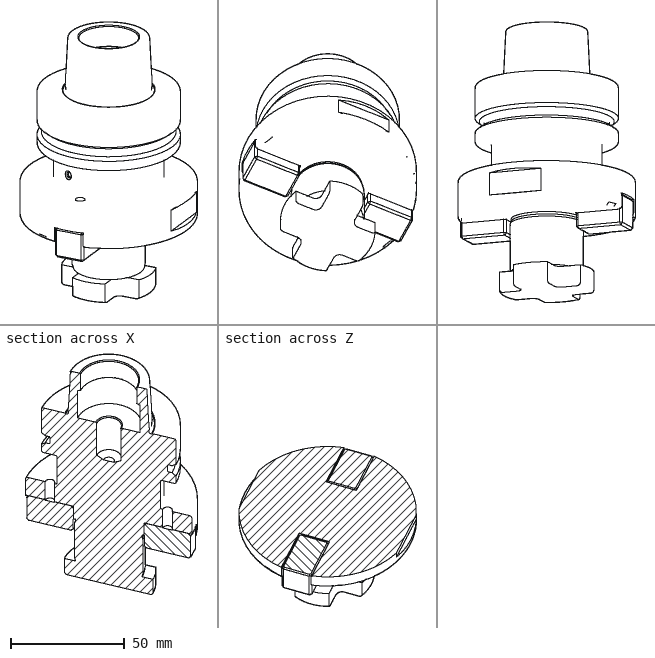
import cadquery as cq
import math


total_height = 118.0
cross_height = 9.3
ring_bottom = 33.0
ring_top = 51.0
lip_bottom = 67.1
groove_bottom = 73.3
groove_top = 77.0
flange_top = 93.1

cross_radius = 20.8
arbor_radius = 16.0
ring_radius = 78.0 / 2
neck_radius = 24.3
flange_radius = 31.5
groove_radius = 27.5
taper_top_radius = 18.0
taper_base_radius = 19.1

ring_fillet = 1.5
flange_fillet = 1.0
shank_fillet = 0.8
root_fillet = 0.6
arbor_lead_depth = 0.4
arbor_lead_height = 1.4
relief_height = 1.1
lip_chamfer_height = 1.4
lip_chamfer_depth = 1.9

foot_relief_height = 1.9
foot_relief_depth = 0.2
foot_fillet = 1.0
foot_recess_radius = 20.4
foot_recess_depth = 0.4

bore_radius = 13.1
bore_chamfer = 0.5
bore_depth = 9.8
clamp_radius = 14.5
clamp_shoulder_angle = 30.0
bore_floor = 92.0
centre_hole_radius = 5.5
centre_hole_chamfer = 0.5
centre_hole_depth = 18.9
centre_tip_radius = 2.5
centre_tip_slope = 30.0

neck_hole_angle = 20.0
neck_hole_height = 59.1
neck_hole_radius = 1.4
neck_hole_chamfer = 0.6
neck_ball_depth = 0.6

pocket_flat = 37.0
pocket_bottom = 37.3
pocket_top = 47.2
pocket_wall_flare = 0.6

key_width = 14.0
key_bottom = 26.2
key_top = 40.2
key_inner = 16.5
key_outer = 38.4
key_chamfer = 1.0
key_hole_radius = 2.1

cross_arm_width = 16.0
cross_corner_radius = 3.0
cross_fillet = 1.5


def revolve_about_z(outline):
    """Turn a closed radius/height outline, drawn in the XZ plane, about Z."""
    return outline.close().revolve(360, (0, 0, 0), (0, 1, 0))


def fillet_arc(outline, centre_r, centre_z, radius, start, end):
    """Add a fillet arc about a centre, running between two angles in degrees."""
    def point(angle):
        a = math.radians(angle)
        return (centre_r + radius * math.cos(a), centre_z + radius * math.sin(a))

    return outline.lineTo(*point(start)).threePointArc(point((start + end) / 2), point(end))


def turned_body():
    """Solid of revolution from the arbor's lower end up to the shank's top."""
    arbor_small_radius = arbor_radius - arbor_lead_depth
    relief_bottom = ring_bottom - relief_height
    lip_edge_radius = flange_radius - lip_chamfer_depth
    foot_floor = flange_top - foot_recess_depth
    foot_radius = taper_base_radius - foot_relief_depth

    outline = cq.Workplane("XZ").moveTo(0, cross_height).lineTo(arbor_small_radius, cross_height)
    outline = outline.lineTo(arbor_radius, cross_height + arbor_lead_height)
    outline = outline.lineTo(arbor_radius, relief_bottom - relief_height)
    outline = outline.lineTo(arbor_small_radius, relief_bottom)
    outline = outline.lineTo(arbor_small_radius, ring_bottom)
    ring_centre = ring_radius - ring_fillet
    outline = fillet_arc(outline, ring_centre, ring_bottom + ring_fillet, ring_fillet, -90, 0)
    outline = fillet_arc(outline, ring_centre, ring_top - ring_fillet, ring_fillet, 0, 90)
    root_centre = neck_radius + root_fillet
    outline = fillet_arc(outline, root_centre, ring_top + root_fillet, root_fillet, 270, 180)
    outline = fillet_arc(outline, root_centre, lip_bottom - root_fillet, root_fillet, 180, 90)
    flange_centre = flange_radius - flange_fillet
    groove_centre = groove_radius + root_fillet
    outline = fillet_arc(outline, flange_centre, lip_bottom + flange_fillet, flange_fillet, -90, 0)
    outline = outline.lineTo(flange_radius, groove_bottom - lip_chamfer_height)
    outline = outline.lineTo(lip_edge_radius, groove_bottom)
    outline = fillet_arc(outline, groove_centre, groove_bottom + root_fillet, root_fillet, 270, 180)
    outline = fillet_arc(outline, groove_centre, groove_top - root_fillet, root_fillet, 180, 90)
    outline = outline.lineTo(lip_edge_radius, groove_top)
    outline = outline.lineTo(flange_radius, groove_top + lip_chamfer_height)
    outline = fillet_arc(outline, flange_centre, flange_top - flange_fillet, flange_fillet, 0, 90)
    outline = outline.lineTo(foot_recess_radius, flange_top)
    outline = outline.lineTo(foot_recess_radius - foot_recess_depth, foot_floor)
    outline = fillet_arc(outline, foot_radius + foot_fillet, foot_floor + foot_fillet, foot_fillet, 270, 180)
    outline = outline.lineTo(taper_base_radius, flange_top + foot_relief_height)
    outline = fillet_arc(
        outline, taper_top_radius - shank_fillet, total_height - shank_fillet, shank_fillet, 0, 90
    )
    return revolve_about_z(outline.lineTo(0, total_height))


def shank_bore():
    """Stepped blind bore: mouth, undercut for the clamp, and a centre hole."""
    shoulder = total_height - bore_depth
    shoulder_height = (clamp_radius - bore_radius) * math.tan(math.radians(clamp_shoulder_angle))
    cone_top = bore_floor - centre_hole_depth
    cone_width = centre_hole_radius - centre_tip_radius
    tip = cone_top - cone_width * math.tan(math.radians(centre_tip_slope))
    outline = cq.Workplane("XZ").moveTo(0, total_height)
    outline = outline.lineTo(bore_radius + bore_chamfer, total_height)
    outline = outline.lineTo(bore_radius, total_height - bore_chamfer)
    outline = outline.lineTo(bore_radius, shoulder)
    outline = outline.lineTo(clamp_radius, shoulder - shoulder_height)
    outline = outline.lineTo(clamp_radius, bore_floor)
    outline = outline.lineTo(centre_hole_radius + centre_hole_chamfer, bore_floor)
    outline = outline.lineTo(centre_hole_radius, bore_floor - centre_hole_chamfer)
    outline = outline.lineTo(centre_hole_radius, cone_top)
    outline = outline.lineTo(centre_tip_radius, tip)
    return revolve_about_z(outline.lineTo(0, tip))


def neck_hole():
    """Radial countersunk hole, swung round from -Y, that ends on a convex ball."""
    mouth_radius = neck_hole_radius + neck_hole_chamfer
    ball_top = neck_radius - neck_ball_depth
    ball_centre = ball_top - neck_hole_radius
    ball_side = neck_hole_radius * math.sqrt(0.5)
    drill = (
        cq.Workplane("XY")
        .moveTo(0, -neck_radius - mouth_radius)
        .lineTo(mouth_radius, -neck_radius - mouth_radius)
        .lineTo(mouth_radius, -neck_radius)
        .lineTo(neck_hole_radius, -neck_radius + neck_hole_chamfer)
        .lineTo(neck_hole_radius, -ball_centre)
        .threePointArc((ball_side, -ball_centre - ball_side), (0, -ball_top))
        .close()
        .revolve(360, (0, 0, 0), (0, 1, 0))
    )
    return drill.translate((0, 0, neck_hole_height)).rotate((0, 0, 0), (0, 0, 1), -neck_hole_angle)


def ring_pocket(side):
    """Flat-bottomed pocket on one X side of the ring, its walls flaring outward."""
    outline = [
        (side * pocket_flat, pocket_bottom),
        (side * pocket_flat, pocket_top),
        (side * ring_radius, pocket_top + pocket_wall_flare),
        (side * ring_radius, pocket_bottom - pocket_wall_flare),
    ]
    return cq.Workplane("XZ").polyline(outline).close().extrude(ring_radius / 2, both=True)


def key_slot(side):
    """Slot in the ring that holds one key, open outward and downward."""
    length = ring_radius - key_inner
    height = key_top - ring_bottom
    return cq.Workplane("XY").box(key_width, length, height).translate(
        (0, side * (key_inner + length / 2), ring_bottom + height / 2)
    )


def key_screw_hole(side):
    """Hole from the key slot up through the top of the ring."""
    return (
        cq.Workplane("XY", origin=(0, side * (key_inner + key_outer) / 2, key_top))
        .circle(key_hole_radius)
        .extrude(ring_top - key_top)
    )


def cross_end():
    """Disc with four notched quadrants, leaving arms along X and Y."""
    notch_size = cross_radius
    notch_offset = cross_arm_width / 2 + notch_size / 2
    disc = cq.Workplane("XY").circle(cross_radius).extrude(cross_height)
    disc = disc.faces("<Z").edges().fillet(cross_fillet)
    for x_side in (-1, 1):
        for y_side in (-1, 1):
            notch = (
                cq.Workplane("XY")
                .center(x_side * notch_offset, y_side * notch_offset)
                .rect(notch_size, notch_size)
                .extrude(cross_height)
                .edges("|Z")
                .fillet(cross_corner_radius)
            )
            disc = disc.cut(notch)
    return disc


def make_holder():
    """Shank, flange, neck, ring, arbor and cross end as one body."""
    body = turned_body().union(cross_end()).cut(shank_bore()).cut(neck_hole())
    for side in (-1, 1):
        body = body.cut(ring_pocket(side)).cut(key_slot(side)).cut(key_screw_hole(side))
    return body


def make_key(side):
    """Rectangular drive key with all of its edges chamfered."""
    length = key_outer - key_inner
    height = key_top - key_bottom
    return cq.Workplane("XY").box(key_width, length, height).edges().chamfer(key_chamfer).translate(
        (0, side * (key_inner + length / 2), key_bottom + height / 2)
    )


holder = make_holder()
keys = [make_key(side) for side in (-1, 1)]

result = cq.Compound.makeCompound([holder.val(), *[key.val() for key in keys]])